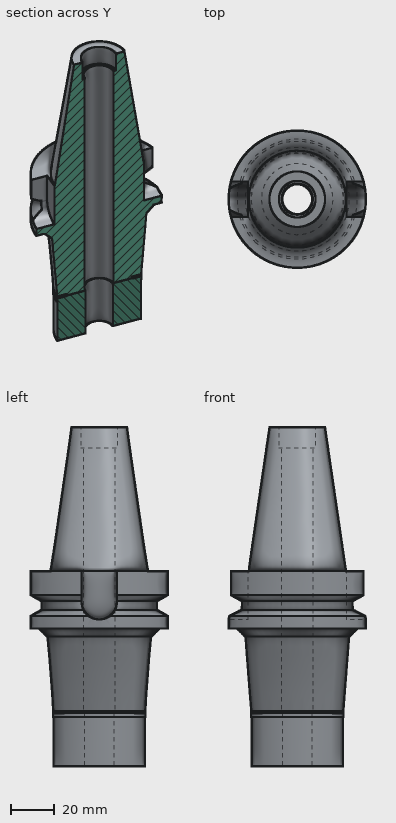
import cadquery as cq

nut_shoulder_z = 22.5
nut_top_z = 24.4
neck_top_z = 25.3
barrel_top_z = 59.4
flange_bottom_z = 63.1
lower_rim_top_z = 68.8
groove_bottom_z = 71.6
groove_top_z = 75.7
upper_rim_bottom_z = 78.5
flange_top_z = 89.4
gauge_z = 90.3
overall_height = 155.4

flange_diameter = 63.0
flange_radius = flange_diameter / 2
groove_radius = 26.5
gauge_radius = 22.2
barrel_top_radius = 23.8
barrel_bottom_radius = 21.1
neck_radius = 16.3
nut_radius = 21.0
nut_collar_radius = 21.3

taper_per_length = 7 / 24
shank_end_radius = gauge_radius - (overall_height - gauge_z) * taper_per_length / 2

flange_cone_radius = barrel_top_radius + (flange_bottom_z - barrel_top_z)

bore_radius = 7.1
mouth_radius = 8.4
mouth_depth = 9.6
nut_bore_radius = 6.8

slot_width = 16.2
slot_floor_x = 22.5
slot_bottom_z = 67.3


def make_drive_slot(side):
    """Cutter for one drive slot; side is +1 for +X and -1 for -X."""
    end_radius = slot_width / 2
    arc_center_z = slot_bottom_z + end_radius
    depth = flange_radius - slot_floor_x
    return (
        cq.Workplane("YZ", origin=(side * slot_floor_x, 0, 0))
        .moveTo(-end_radius, flange_top_z)
        .lineTo(-end_radius, arc_center_z)
        .threePointArc((0, slot_bottom_z), (end_radius, arc_center_z))
        .lineTo(end_radius, flange_top_z)
        .close()
        .extrude(side * depth)
    )


def make_holder():
    """Tool holder: neck, barrel, grooved flange and tapered shank around a bore."""
    mouth_floor_z = overall_height - mouth_depth
    profile = [
        (bore_radius, nut_top_z),
        (neck_radius, nut_top_z),
        (neck_radius, neck_top_z),
        (barrel_bottom_radius, neck_top_z),
        (barrel_top_radius, barrel_top_z),
        (flange_cone_radius, flange_bottom_z),
        (flange_radius, flange_bottom_z),
        (flange_radius, lower_rim_top_z),
        (groove_radius, groove_bottom_z),
        (groove_radius, groove_top_z),
        (flange_radius, upper_rim_bottom_z),
        (flange_radius, flange_top_z),
        (gauge_radius, flange_top_z),
        (gauge_radius, gauge_z),
        (shank_end_radius, overall_height),
        (mouth_radius, overall_height),
        (mouth_radius, mouth_floor_z),
        (bore_radius, mouth_floor_z),
    ]
    holder = cq.Workplane("XZ").polyline(profile).close().revolve(360, (0, 0), (0, 1))
    for side in (-1, 1):
        holder = holder.cut(make_drive_slot(side))
    return holder


def make_nut():
    """Clamping nut: a plain sleeve with a slightly wider collar on top."""
    profile = [
        (nut_bore_radius, 0),
        (nut_radius, 0),
        (nut_radius, nut_shoulder_z),
        (nut_collar_radius, nut_shoulder_z),
        (nut_collar_radius, nut_top_z),
        (nut_bore_radius, nut_top_z),
    ]
    return cq.Workplane("XZ").polyline(profile).close().revolve(360, (0, 0), (0, 1))


holder = make_holder()
nut = make_nut()
result = cq.Compound.makeCompound([holder.val(), nut.val()])